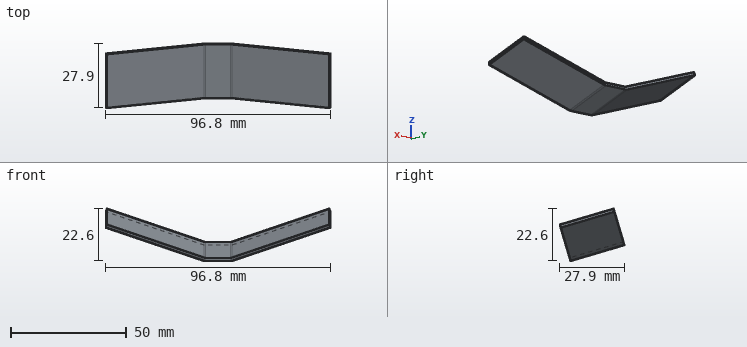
import cadquery as cq
import math

span = 96.8
strip_width = 24.2
thickness = 1.5
flat_length = 12.0
inner_radius = 1.9
wing_angle = 19.5
tilt_angle = 16.5

outer_radius = inner_radius + thickness
bend = math.radians(wing_angle)
half_span = span / 2
half_flat = flat_length / 2

wing_rise = (half_span - half_flat) * math.tan(bend)
end_inset = thickness * math.sin(bend)
end_height = thickness * math.cos(bend)
inner_half_flat = half_flat - thickness * math.tan(bend / 2)

profile = [
    (-half_flat, 0),
    (half_flat, 0),
    (half_span, wing_rise),
    (half_span - end_inset, wing_rise + end_height),
    (inner_half_flat, thickness),
    (-inner_half_flat, thickness),
    (-half_span + end_inset, wing_rise + end_height),
    (-half_span, wing_rise),
]


def round_bends(strip, height, radius):
    """Round the two bend edges that border the middle panel at the given height."""
    reach = half_flat + thickness
    band = thickness / 4
    panel_box = cq.selectors.BoxSelector(
        (-reach, -strip_width, height - band),
        (reach, strip_width, height + band),
    )
    return strip.edges("|Y").edges(panel_box).fillet(radius)


strip = cq.Workplane("XZ").polyline(profile).close().extrude(strip_width / 2, both=True)
strip = round_bends(strip, thickness, inner_radius)
strip = round_bends(strip, 0, outer_radius)

result = strip.rotate((0, 0, 0), (1, 0, 0), tilt_angle)